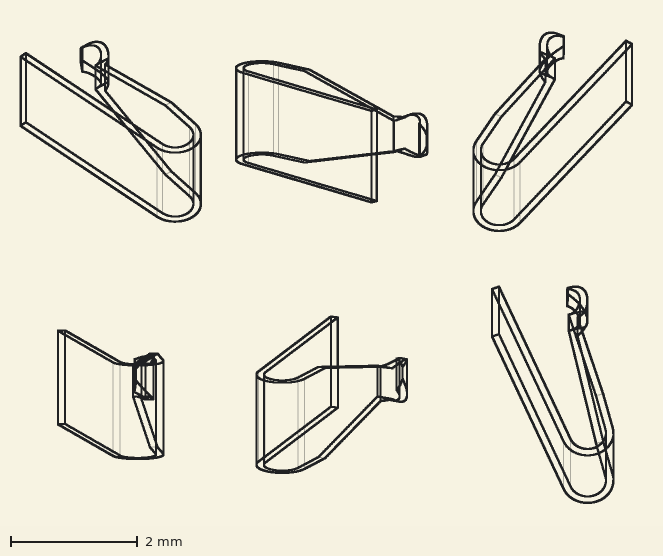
import cadquery as cq
import math

thickness = 0.12
strip_width = 1.5
length = 3.41

bend_outer = 0.41
bend_inner = bend_outer - thickness
bend_x = length - bend_outer
bend_y = bend_outer
arm_tilt = math.radians(8.4)

hook_reach = 2.677
hook_outer = 0.35
hook_inner = hook_outer - thickness
hook_tip_angle = math.radians(150)

taper_start = 0.63
neck_half_width = 0.255
head_radius = 0.34
cutter_depth = 2 * hook_outer


def bend_point(radius, angle):
    """Point on an arc about the bend axis."""
    return bend_x + radius * math.cos(angle), bend_y + radius * math.sin(angle)


def arm_point(along, out):
    """Point given by distance along the arm and distance out from its inner face."""
    x, y = bend_point(bend_inner + out, math.pi / 2 - arm_tilt)
    return x - along * math.cos(arm_tilt), y + along * math.sin(arm_tilt)


def hook_point(radius, angle):
    """Point on an arc about the hook axis."""
    x, y = arm_point(hook_reach, 0)
    return x + radius * math.cos(angle), y + radius * math.sin(angle)


def make_leg_and_bend():
    bend_end = math.pi / 2 - arm_tilt
    bend_middle = (bend_end - math.pi / 2) / 2
    return (
        cq.Workplane("XY")
        .moveTo(0, 0)
        .lineTo(bend_x, 0)
        .threePointArc(bend_point(bend_outer, bend_middle), bend_point(bend_outer, bend_end))
        .lineTo(*bend_point(bend_inner, bend_end))
        .threePointArc(bend_point(bend_inner, bend_middle), (bend_x, thickness))
        .lineTo(0, thickness)
        .close()
        .extrude(strip_width / 2, both=True)
    )


def make_full_width_arm():
    inner_corner = hook_reach - hook_inner
    outer_corner = hook_reach - math.sqrt(hook_outer**2 - thickness**2)
    hook_top = math.pi / 2
    return (
        cq.Workplane("XY")
        .moveTo(*arm_point(0, 0))
        .lineTo(*arm_point(inner_corner, 0))
        .threePointArc(hook_point(hook_inner, hook_top), hook_point(hook_inner, hook_tip_angle))
        .lineTo(*hook_point(hook_outer, hook_tip_angle))
        .threePointArc(hook_point(hook_outer, hook_top), arm_point(outer_corner, thickness))
        .lineTo(*arm_point(0, thickness))
        .close()
        .extrude(strip_width / 2, both=True)
    )


def make_arm_outline():
    """Flat arm outline, extruded square to the arm so that it also trims the hook."""
    half_width = strip_width / 2
    neck = hook_reach - math.sqrt(head_radius**2 - neck_half_width**2)
    arm_plane = cq.Plane(
        origin=(*arm_point(0, 0), 0),
        xDir=(-math.cos(arm_tilt), math.sin(arm_tilt), 0),
        normal=(math.sin(arm_tilt), math.cos(arm_tilt), 0),
    )
    return (
        cq.Workplane(arm_plane)
        .moveTo(0, -half_width)
        .lineTo(taper_start, -half_width)
        .lineTo(neck, -neck_half_width)
        .threePointArc((hook_reach + head_radius, 0), (neck, neck_half_width))
        .lineTo(taper_start, half_width)
        .lineTo(0, half_width)
        .close()
        .extrude(cutter_depth, both=True)
    )


arm = make_full_width_arm().intersect(make_arm_outline())
result = make_leg_and_bend().union(arm)